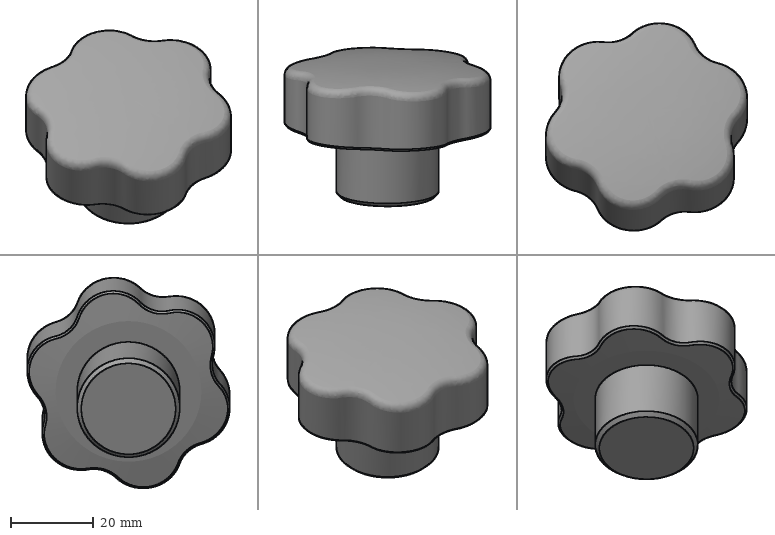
import cadquery as cq
import math

height = 32.95
tip_radius = 25.35
valley_radius = 21.15

lobe_count = 6
lobe_radius = 9.3
lobe_centre_radius = tip_radius - lobe_radius
half_pitch = math.pi / lobe_count

dome_shoulder_radius = 15.2
dome_shoulder_drop = 0.5
blank_radius = 27.35
dome_rim_drop = 2.25
dome_rim_slope = 0.2
top_fillet = 2.0

underside_flat_diameter = 35.5
underside_radius = 147.0
bottom_chamfer = 0.5

hub_diameter = 25.0
hub_length = 15.95
hub_chamfer = 1.0


def polar(radius, angle):
    """Point at a radius and an angle measured from the +Y axis towards +X."""
    return (radius * math.sin(angle), radius * math.cos(angle))


def flute_radius():
    """Radius of the concave arc that touches both neighbouring lobes and the valley circle."""
    cosine = math.cos(half_pitch)
    gap = lobe_centre_radius**2 + valley_radius**2 - lobe_radius**2
    gap -= 2 * lobe_centre_radius * valley_radius * cosine
    return gap / (2 * (lobe_radius - valley_radius + lobe_centre_radius * cosine))


def lobe_end_points(lobe_angle):
    """Points where a lobe arc meets the flutes before and after it."""
    flute_centre_radius = valley_radius + flute_radius()
    share = lobe_radius / (lobe_radius + flute_radius())
    lobe_x, lobe_y = polar(lobe_centre_radius, lobe_angle)
    ends = []
    for flute_angle in (lobe_angle - half_pitch, lobe_angle + half_pitch):
        flute_x, flute_y = polar(flute_centre_radius, flute_angle)
        ends.append((lobe_x + share * (flute_x - lobe_x), lobe_y + share * (flute_y - lobe_y)))
    return ends


def head_outline():
    """Closed outline of alternating convex lobes and concave flutes."""
    outline = cq.Workplane("XY").moveTo(*lobe_end_points(0)[0])
    for index in range(lobe_count):
        lobe_angle = 2 * half_pitch * index
        lobe_end = lobe_end_points(lobe_angle)[1]
        flute_end = lobe_end_points(lobe_angle + 2 * half_pitch)[0]
        outline = outline.threePointArc(polar(tip_radius, lobe_angle), lobe_end)
        outline = outline.threePointArc(polar(valley_radius, lobe_angle + half_pitch), flute_end)
    return outline.close()


def head_envelope():
    """Turned blank with a dome on top and a spherical underside around a flat disc."""
    flat = underside_flat_diameter / 2
    underside_centre = hub_length + math.sqrt(underside_radius**2 - flat**2)

    def underside_point(r):
        return (r, underside_centre - math.sqrt(underside_radius**2 - r**2))

    return (
        cq.Workplane("XZ")
        .moveTo(0, hub_length)
        .lineTo(flat, hub_length)
        .threePointArc(underside_point((flat + blank_radius) / 2), underside_point(blank_radius))
        .lineTo(blank_radius, height - dome_rim_drop)
        .spline(
            [(dome_shoulder_radius, height - dome_shoulder_drop), (0, height)],
            tangents=[(-1, dome_rim_slope), (-1, 0)],
            includeCurrent=True,
        )
        .close()
        .revolve(360, (0, 0, 0), (0, 1, 0))
    )


def make_head():
    """Lobed head cut from the turned blank, rounded above and chamfered below."""
    head = head_outline().extrude(height).intersect(head_envelope())
    dome_face = head.faces(cq.selectors.NearestToPointSelector((0, 0, height)))
    head = dome_face.edges().fillet(top_fillet)
    below_walls = cq.selectors.BoxSelector(
        (-tip_radius, -tip_radius, hub_length),
        (tip_radius, tip_radius, (hub_length + height) / 2),
    )
    underside_rim = head.edges(below_walls).edges("not <Z")
    return underside_rim.chamfer(bottom_chamfer)


def make_hub():
    """Round hub below the head, chamfered at its free end."""
    hub = cq.Workplane("XY").circle(hub_diameter / 2).extrude(hub_length)
    return hub.faces("<Z").chamfer(hub_chamfer)


knob = make_head().union(make_hub())
result = cq.Compound.makeCompound([knob.val()])